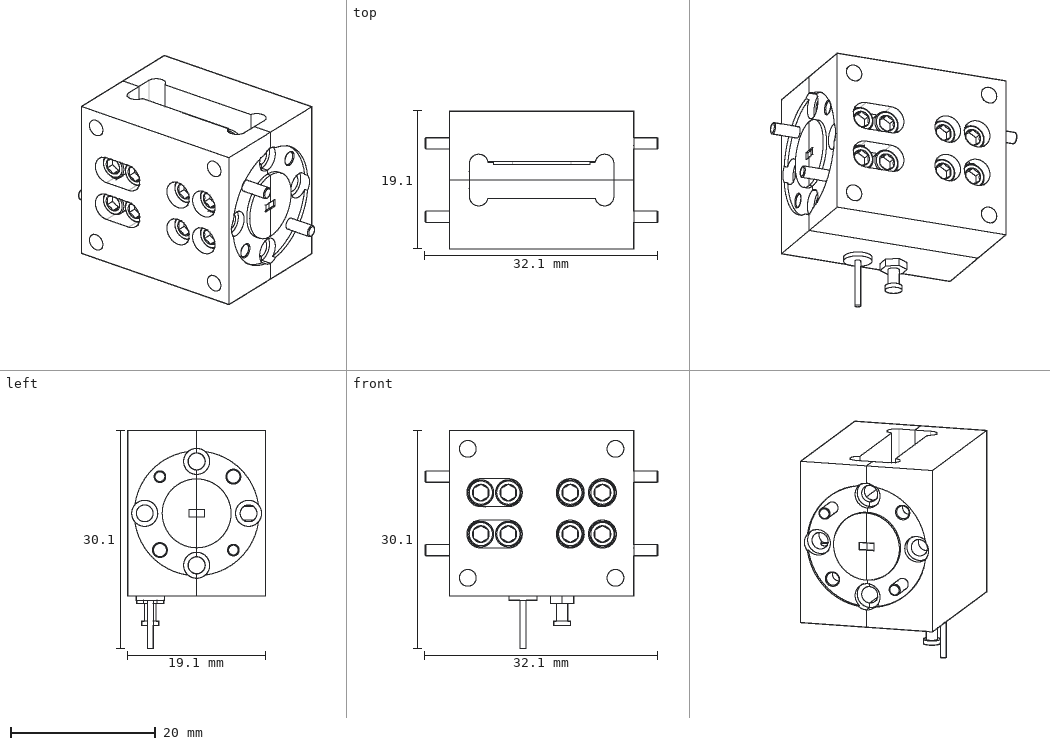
import cadquery as cq
import math

TOTAL_LENGTH = 32.13
BLOCK_X = 25.48
BLOCK_Y = 19.05
BLOCK_Z = 22.88
HALF_Y = BLOCK_Y / 2
FACE_X = BLOCK_X / 2
TOP_Z = BLOCK_Z / 2

RECESS_RADIUS = 8.6
RECESS_DEPTH = 0.5
BOSS_RADIUS = 4.75
BOLT_CIRCLE_RADIUS = 7.15
BOLT_RADIUS = 1.15
BOLT_COUNTERBORE_RADIUS = 1.8
BOLT_COUNTERBORE_DEPTH = 1.5
BOLT_HOLE_DEPTH = 4.82
GUIDE_HOLE_RADIUS = 0.9
GUIDE_HOLE_DEPTH = 2.9
GUIDE_CHAMFER = 0.13
WAVEGUIDE_Y = 2.15
WAVEGUIDE_Z = 1.03
WAVEGUIDE_DEPTH = 0.25
DOWEL_RADIUS = 0.8
DOWEL_CHAMFER = 0.13
DOWEL_OFFSET = BOLT_CIRCLE_RADIUS / math.sqrt(2)

SCREW_OUTER_X = 8.4
SLOT_INNER_X = -4.6
COUNTERBORE_INNER_X = 3.95
SCREW_Z = 2.85
SCREW_POCKET_RADIUS = 1.93
SCREW_POCKET_DEPTH = 3.6
HEAD_RADIUS = 1.77
HEAD_HEIGHT = 2.15
HEAD_CHAMFER = 0.15
SOCKET_FLATS = 2.02
SOCKET_DEPTH = 1.3
SOCKET_MOUTH_RADIUS = 1.15
CORNER_X = 10.2
CORNER_Z = 8.9
CORNER_HOLE_DEPTH = 3.85

CAVITY_X = 19.92
CAVITY_Y = 5.15
CAVITY_DEPTH = 6.43
LOBE_RADIUS = 1.3
LOBE_Y = 2.28
PAD_X = 13.3
PAD_THICKNESS = 0.45
PAD_CORNER_RADIUS = 2.6
PAD_TOP_DROP = 3.45
LEDGE_THICKNESS = 0.13
LEDGE_HEIGHT = 0.48

TERMINAL_Y = 6.4
FEEDTHROUGH_X = -2.57
FEEDTHROUGH_FLANGE_RADIUS = 1.95
FEEDTHROUGH_FLANGE_HEIGHT = 0.58
FEEDTHROUGH_PIN_RADIUS = 0.42
FEEDTHROUGH_LENGTH = 7.23
TURRET_X = 2.83
TURRET_HEX_FLATS = 3.25
TURRET_HEX_HEIGHT = 1.03
TURRET_POST_RADIUS = 0.8
TURRET_CAP_RADIUS = 1.2
TURRET_CAP_HEIGHT = 0.6
TURRET_LENGTH = 4.05

DRILL_TIP_ANGLE = 118.0
HEX_TURN = 30
HALF_TURN = 180
HEX_CORNER_RATIO = 2 / math.sqrt(3)

X_AXIS = cq.Vector(1, 0, 0)
Y_AXIS = cq.Vector(0, 1, 0)
DOWN = cq.Vector(0, 0, -1)


def cylinder(radius, length, start, direction):
    return cq.Workplane(cq.Solid.makeCylinder(radius, length, cq.Vector(*start), direction))


def cone(base_radius, tip_radius, length, start, direction):
    return cq.Workplane(
        cq.Solid.makeCone(base_radius, tip_radius, length, cq.Vector(*start), direction)
    )


def drilled_hole(radius, depth, start, direction):
    """Blind hole with a conical bottom; depth is that of the full diameter."""
    tip_length = radius / math.tan(math.radians(DRILL_TIP_ANGLE / 2))
    tip_start = cq.Vector(*start) + direction * depth
    bore = cylinder(radius, depth, start, direction)
    return bore.union(cone(radius, 0, tip_length, tip_start.toTuple(), direction))


def block_half(side):
    """Half of the block: side is -1 for the front half, +1 for the back half."""
    return cq.Workplane().box(BLOCK_X, HALF_Y, BLOCK_Z).translate((0, side * HALF_Y / 2, 0))


def flange_cuts():
    """Everything cut into the -X face around the waveguide opening."""
    floor_x = RECESS_DEPTH - FACE_X
    center = (-FACE_X, 0, 0)
    cuts = cylinder(RECESS_RADIUS, RECESS_DEPTH, center, X_AXIS)
    cuts = cuts.cut(cylinder(BOSS_RADIUS, RECESS_DEPTH, center, X_AXIS))
    opening = cq.Workplane().box(WAVEGUIDE_DEPTH, WAVEGUIDE_Y, WAVEGUIDE_Z)
    cuts = cuts.union(opening.translate((WAVEGUIDE_DEPTH / 2 - FACE_X, 0, 0)))
    for side in (-1, 1):
        beside = (-FACE_X, side * BOLT_CIRCLE_RADIUS, 0)
        above = (-FACE_X, 0, side * BOLT_CIRCLE_RADIUS)
        for place in (beside, above):
            cuts = cuts.union(
                cylinder(BOLT_COUNTERBORE_RADIUS, BOLT_COUNTERBORE_DEPTH, place, X_AXIS)
            )
        cuts = cuts.union(drilled_hole(BOLT_RADIUS, BOLT_HOLE_DEPTH, beside, X_AXIS))
        cuts = cuts.union(cylinder(BOLT_RADIUS, BLOCK_X, above, X_AXIS))
        guide = (floor_x, side * DOWEL_OFFSET, -side * DOWEL_OFFSET)
        cuts = cuts.union(drilled_hole(GUIDE_HOLE_RADIUS, GUIDE_HOLE_DEPTH, guide, X_AXIS))
        mouth_radius = GUIDE_HOLE_RADIUS + GUIDE_CHAMFER
        cuts = cuts.union(cone(mouth_radius, GUIDE_HOLE_RADIUS, GUIDE_CHAMFER, guide, X_AXIS))
    return cuts


def both_ends(shape):
    """The -X flange shape, and the same shape turned half round for the +X end."""
    return shape.union(shape.rotate((0, 0, 0), (0, 0, 1), HALF_TURN))


def dowel(y, z):
    """Guide pin standing on the recess floor of the -X flange."""
    length = TOTAL_LENGTH / 2 - FACE_X + RECESS_DEPTH
    pin = cylinder(DOWEL_RADIUS, length, (-TOTAL_LENGTH / 2, y, z), X_AXIS)
    return pin.faces("<X").chamfer(DOWEL_CHAMFER)


def cavity():
    floor_z = TOP_Z - CAVITY_DEPTH
    pocket = cq.Workplane().box(CAVITY_X, 2 * LOBE_Y, CAVITY_DEPTH)
    lobe_x = CAVITY_X / 2 - LOBE_RADIUS
    middle = cq.Workplane().box(2 * lobe_x, CAVITY_Y, CAVITY_DEPTH)
    pocket = pocket.union(middle).translate((0, 0, floor_z + CAVITY_DEPTH / 2))
    lobes = (
        cq.Workplane()
        .workplane(offset=floor_z)
        .rect(2 * lobe_x, 2 * LOBE_Y, forConstruction=True)
        .vertices()
        .circle(LOBE_RADIUS)
        .extrude(CAVITY_DEPTH)
    )
    return pocket.union(lobes)


def cavity_pad():
    """Round-shouldered pad and the thin ledge along the back wall of the cavity."""
    floor_z = TOP_Z - CAVITY_DEPTH
    wall_y = CAVITY_Y / 2
    height = CAVITY_DEPTH - PAD_TOP_DROP
    pad = (
        cq.Workplane()
        .box(PAD_X, PAD_THICKNESS, height)
        .edges("|Y and >Z")
        .fillet(PAD_CORNER_RADIUS)
        .translate((0, wall_y - PAD_THICKNESS / 2, floor_z + height / 2))
    )
    ledge_length = CAVITY_X - 4 * LOBE_RADIUS
    ledge = cq.Workplane().box(ledge_length, LEDGE_THICKNESS, LEDGE_HEIGHT)
    return pad.union(ledge.translate((0, wall_y - LEDGE_THICKNESS / 2, floor_z + LEDGE_HEIGHT / 2)))


def screw_places():
    columns = (-SCREW_OUTER_X, SLOT_INNER_X, COUNTERBORE_INNER_X, SCREW_OUTER_X)
    return [(x, z) for x in columns for z in (-SCREW_Z, SCREW_Z)]


def screw_pockets():
    """A round pocket per screw; the two on the -X side of each row run together as a slot."""
    pockets = cq.Workplane()
    for x, z in screw_places():
        pockets = pockets.union(
            cylinder(SCREW_POCKET_RADIUS, SCREW_POCKET_DEPTH, (x, -HALF_Y, z), Y_AXIS)
        )
    for z in (-SCREW_Z, SCREW_Z):
        bridge = cq.Workplane().box(
            SLOT_INNER_X + SCREW_OUTER_X, SCREW_POCKET_DEPTH, 2 * SCREW_POCKET_RADIUS
        )
        middle_x = (SLOT_INNER_X - SCREW_OUTER_X) / 2
        pockets = pockets.union(bridge.translate((middle_x, SCREW_POCKET_DEPTH / 2 - HALF_Y, z)))
    return pockets


def screw_head(x, z):
    """Socket cap head on the floor of its pocket."""
    floor_y = SCREW_POCKET_DEPTH - HALF_Y
    top_y = floor_y - HEAD_HEIGHT
    head = cylinder(HEAD_RADIUS, HEAD_HEIGHT, (x, top_y, z), Y_AXIS)
    head = head.faces("<Y").chamfer(HEAD_CHAMFER)
    socket = (
        cq.Workplane("XZ", origin=(x, top_y, z))
        .transformed(rotate=(0, 0, HEX_TURN))
        .polygon(6, SOCKET_FLATS * HEX_CORNER_RATIO)
        .extrude(-SOCKET_DEPTH)
    )
    mouth_depth = SOCKET_MOUTH_RADIUS - SOCKET_FLATS / 2
    mouth = cone(SOCKET_MOUTH_RADIUS, SOCKET_FLATS / 2, mouth_depth, (x, top_y, z), Y_AXIS)
    return head.cut(socket).cut(mouth)


def corner_holes():
    holes = cq.Workplane()
    for x in (-CORNER_X, CORNER_X):
        for z in (-CORNER_Z, CORNER_Z):
            holes = holes.union(
                drilled_hole(BOLT_RADIUS, CORNER_HOLE_DEPTH, (x, -HALF_Y, z), Y_AXIS)
            )
    return holes


def turret_terminal():
    """Hexagonal base, round post and wider round cap."""
    root = (TURRET_X, TERMINAL_Y, -TOP_Z)
    base = (
        cq.Workplane(origin=root)
        .transformed(rotate=(0, 0, HEX_TURN))
        .polygon(6, TURRET_HEX_FLATS * HEX_CORNER_RATIO)
        .extrude(-TURRET_HEX_HEIGHT)
    )
    cap_top = (TURRET_X, TERMINAL_Y, -TOP_Z - TURRET_LENGTH + TURRET_CAP_HEIGHT)
    post = cylinder(TURRET_POST_RADIUS, TURRET_LENGTH, root, DOWN)
    return base.union(post).union(cylinder(TURRET_CAP_RADIUS, TURRET_CAP_HEIGHT, cap_top, DOWN))


def make_feedthrough():
    """Flanged contact pin."""
    root = (FEEDTHROUGH_X, TERMINAL_Y, -TOP_Z)
    flange = cylinder(FEEDTHROUGH_FLANGE_RADIUS, FEEDTHROUGH_FLANGE_HEIGHT, root, DOWN)
    return flange.union(cylinder(FEEDTHROUGH_PIN_RADIUS, FEEDTHROUGH_LENGTH, root, DOWN))


def make_half(side):
    """Features common to both halves; the guide pin's height changes sign with the side."""
    half = block_half(side).cut(both_ends(flange_cuts())).cut(cavity())
    pin = dowel(side * DOWEL_OFFSET, side * DOWEL_OFFSET)
    far_pin = dowel(-side * DOWEL_OFFSET, -side * DOWEL_OFFSET).rotate((0, 0, 0), (0, 0, 1), HALF_TURN)
    return half.union(pin).union(far_pin)


def make_front_half():
    half = make_half(-1).cut(screw_pockets()).cut(corner_holes())
    for x, z in screw_places():
        half = half.union(screw_head(x, z))
    return half


def make_back_half():
    return make_half(1).union(cavity_pad()).union(turret_terminal())


front_half = make_front_half()
back_half = make_back_half()
feedthrough = make_feedthrough()

result = cq.Compound.makeCompound([front_half.val(), back_half.val(), feedthrough.val()])